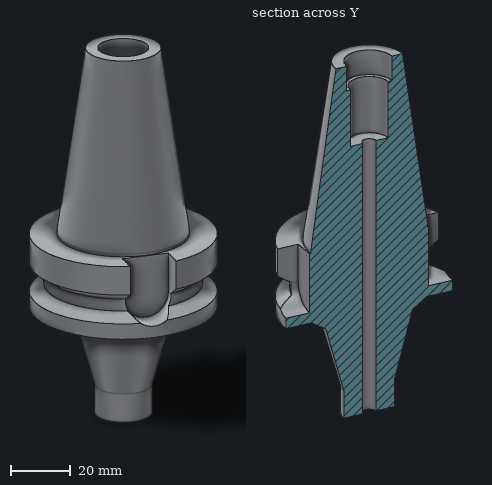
import cadquery as cq

total_height = 130.4
nose_top = 10.2
neck_top = 34.5
flange_bottom = 38.1
lower_rim_top = 43.5
groove_bottom = 46.3
groove_top = 50.6
upper_rim_bottom = 53.9
flange_top = 64.0
gauge_plane = 65.0

nose_radius = 9.6
neck_radius = 16.4
flange_base_radius = 21.8
flange_radius = 31.49
groove_radius = 26.6
gauge_radius = 22.2
taper_tip_radius = 12.6

through_bore_radius = 2.5
thread_radius = 7.0
thread_depth = 30.0
mouth_radius = 8.5
mouth_depth = 9.1

slot_width = 16.2
slot_floor_x = 22.5
slot_bottom = 42.1


def turned_body():
    profile = [
        (0, 0),
        (nose_radius, 0),
        (nose_radius, nose_top),
        (neck_radius, neck_top),
        (flange_base_radius, flange_bottom),
        (flange_radius, flange_bottom),
        (flange_radius, lower_rim_top),
        (groove_radius, groove_bottom),
        (groove_radius, groove_top),
        (flange_radius, upper_rim_bottom),
        (flange_radius, flange_top),
        (gauge_radius, flange_top),
        (gauge_radius, gauge_plane),
        (taper_tip_radius, total_height),
        (0, total_height),
    ]
    return cq.Workplane("XZ").polyline(profile).close().revolve(360, (0, 0), (0, 1))


def bore(radius, depth):
    """Cylinder reaching down from the taper tip."""
    return cq.Workplane("XY").workplane(offset=total_height).circle(radius).extrude(-depth)


def drive_slot(side):
    """Round-bottomed slot cutter, open at the flange top; side is +1 or -1."""
    half_width = slot_width / 2
    arc_center_z = slot_bottom + half_width
    return (
        cq.Workplane("YZ")
        .workplane(offset=side * slot_floor_x)
        .moveTo(-half_width, gauge_plane)
        .lineTo(-half_width, arc_center_z)
        .threePointArc((0, slot_bottom), (half_width, arc_center_z))
        .lineTo(half_width, gauge_plane)
        .close()
        .extrude(side * flange_radius)
    )


result = turned_body()
result = result.cut(bore(through_bore_radius, total_height))
result = result.cut(bore(thread_radius, thread_depth))
result = result.cut(bore(mouth_radius, mouth_depth))
for side in (-1, 1):
    result = result.cut(drive_slot(side))